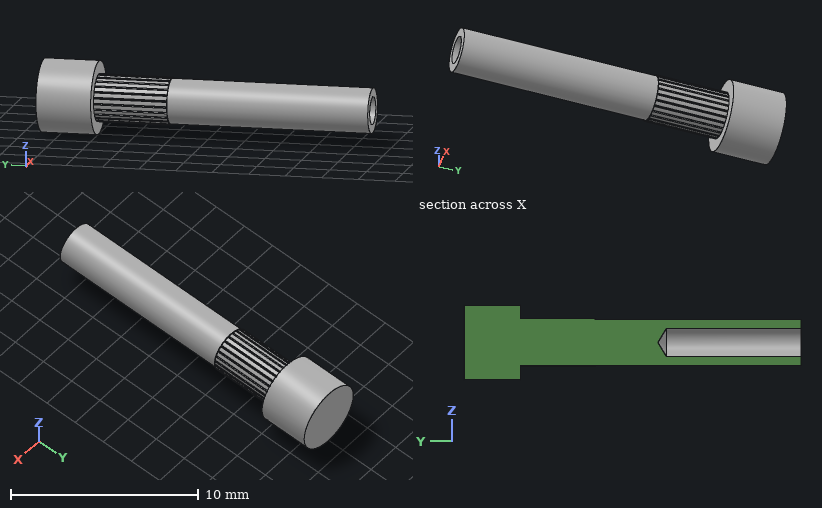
import cadquery as cq

total_length = 18
head_length = 3.0
head_diameter = 4.0
knurl_length = 4.0
knurl_diameter = 2.57
shaft_diameter = 2.47
groove_count = 25
groove_width = 0.09
bore_diameter = 1.5
bore_depth = 7.2
drill_tip_depth = 0.45

head_end = total_length / 2
head_shoulder = head_end - head_length
knurl_end = head_shoulder - knurl_length
shaft_end = -total_length / 2


def cylinder(diameter, start, end):
    """Cylinder on the Y axis, running from start up to end."""
    plane = cq.Plane(origin=(0, start, 0), xDir=(1, 0, 0), normal=(0, 1, 0))
    return cq.Workplane(plane).circle(diameter / 2).extrude(end - start)


def knurl_grooves():
    """Lengthwise V grooves around the knurl, as deep as the shaft surface."""
    knurl_radius = knurl_diameter / 2
    root_radius = shaft_diameter / 2
    outer_radius = 2 * knurl_radius - root_radius
    plane = cq.Plane(origin=(0, knurl_end, 0), xDir=(1, 0, 0), normal=(0, 1, 0))
    pitch_angle = 360 / groove_count
    grooves = cq.Workplane("XY")
    for index in range(groove_count):
        angle = (index + 0.5) * pitch_angle
        groove = (
            cq.Workplane(plane)
            .moveTo(0, -root_radius)
            .lineTo(groove_width, -outer_radius)
            .lineTo(-groove_width, -outer_radius)
            .close()
            .extrude(knurl_length)
        )
        grooves = grooves.add(groove.rotate((0, 0, 0), (0, 1, 0), angle))
    return grooves.combine()


def bore():
    """Blind hole from the shaft end, finished with a conical drill tip."""
    bore_radius = bore_diameter / 2
    bore_end = shaft_end + bore_depth
    profile = (
        cq.Workplane("XY")
        .moveTo(0, shaft_end)
        .lineTo(bore_radius, shaft_end)
        .lineTo(bore_radius, bore_end)
        .lineTo(0, bore_end + drill_tip_depth)
        .close()
    )
    return profile.revolve(360, (0, 0, 0), (0, 1, 0))


shaft = cylinder(shaft_diameter, shaft_end, head_end)
knurl = cylinder(knurl_diameter, knurl_end, head_shoulder).cut(knurl_grooves())
head = cylinder(head_diameter, head_shoulder, head_end)
result = shaft.union(knurl).union(head).cut(bore())